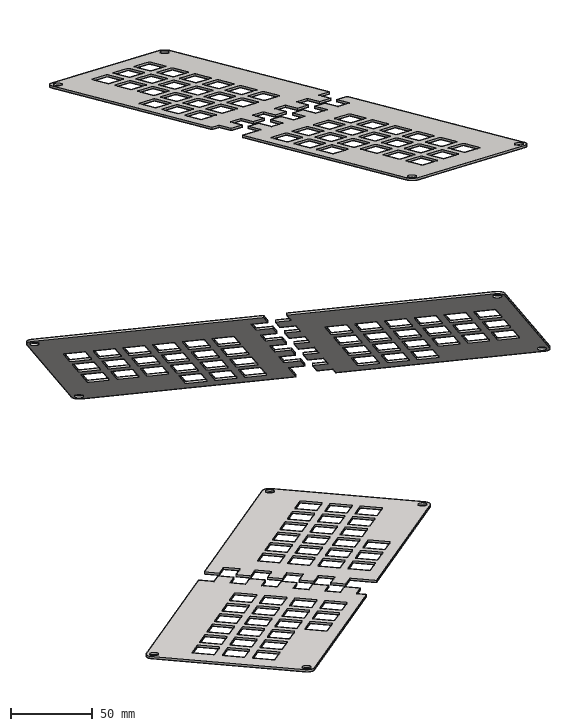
import cadquery as cq

total_length = 306.0
plate_width = 106.2
thickness = 1.5

left_finger_length = 10.0
right_finger_length = 10.7
finger_count = 5
finger_row_span = 80.0
finger_pitch = finger_row_span / (finger_count - 1)
left_finger_width = 10.0
right_finger_width = 9.5
left_first_finger_drop = 9.8
left_body_length = 138.5
right_plate_length = 153.0

left_corner_radius = 4.5
right_corner_radius = 5.0
mount_hole_diameter = 5.5
mount_hole_inset = 5.0

key_columns = 6
key_row_span = 95.2
key_pitch = key_row_span / (key_columns - 1)
key_opening = 14.0
key_corner_radius = 0.5
full_key_rows = 3
short_row_keys = 3
first_key_row_drop = 34.0
left_first_key_x = 19.5
right_first_key_x = 187.0

right_body_start = total_length - right_plate_length + right_finger_length


def box_between(x_start, x_end, y_start, y_end):
    """Return a full-thickness block spanning the given X and Y limits."""
    return cq.Workplane("XY").box(
        x_end - x_start, y_end - y_start, thickness, centered=False
    ).translate((x_start, y_start, 0))


def add_fingers(plate, x_start, first_drop, length, width):
    """Add a column of fingers; first_drop is the distance from the top edge to the first one."""
    for index in range(finger_count):
        y_top = plate_width - first_drop - index * finger_pitch
        plate = plate.union(box_between(x_start, x_start + length, y_top - width, y_top))
    return plate


def cut_mount_holes(plate, x):
    """Drill the two mounting holes at the outer end of a plate."""
    centers = [(x, mount_hole_inset), (x, plate_width - mount_hole_inset)]
    holes = cq.Workplane("XY").pushPoints(centers).circle(mount_hole_diameter / 2).extrude(thickness)
    return plate.cut(holes)


def cut_key_openings(plate, first_x, short_row_start):
    """Cut three full rows of key openings and a short bottom row starting at the given column."""
    centers = []
    for row in range(full_key_rows + 1):
        columns = range(key_columns)
        if row == full_key_rows:
            columns = range(short_row_start, short_row_start + short_row_keys)
        y = plate_width - first_key_row_drop - row * key_pitch
        centers += [(first_x + column * key_pitch, y) for column in columns]
    openings = (
        cq.Workplane("XY")
        .pushPoints(centers)
        .rect(key_opening, key_opening)
        .extrude(thickness)
        .edges("|Z")
        .fillet(key_corner_radius)
    )
    return plate.cut(openings)


def make_left_plate():
    plate = box_between(0, left_body_length, 0, plate_width)
    plate = plate.edges("|Z and <X").fillet(left_corner_radius)
    plate = add_fingers(
        plate, left_body_length, left_first_finger_drop, left_finger_length, left_finger_width
    )
    plate = cut_mount_holes(plate, mount_hole_inset)
    return cut_key_openings(plate, left_first_key_x, key_columns - short_row_keys)


def make_right_plate():
    plate = box_between(right_body_start, total_length, 0, plate_width)
    plate = plate.edges("|Z and >X").fillet(right_corner_radius)
    plate = add_fingers(
        plate, total_length - right_plate_length, 0, right_finger_length, right_finger_width
    )
    plate = cut_mount_holes(plate, total_length - mount_hole_inset)
    return cut_key_openings(plate, right_first_key_x, 0)


left_plate = make_left_plate()
right_plate = make_right_plate()
result = cq.Compound.makeCompound([left_plate.val(), right_plate.val()])